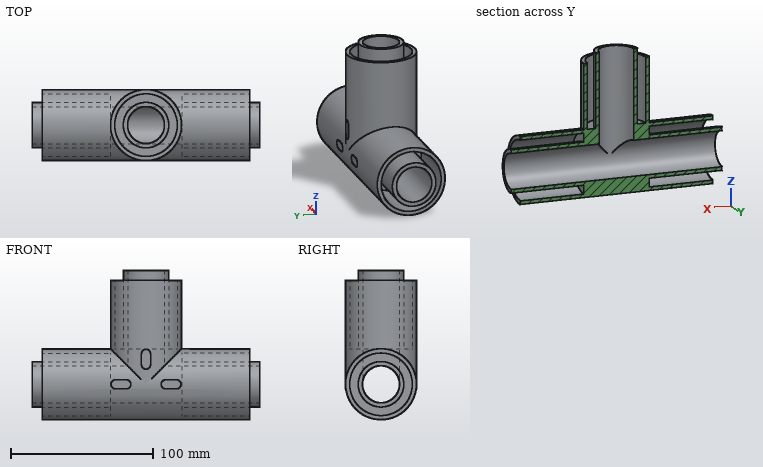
import cadquery as cq

run_length = 160.0
sleeve_diameter = 50.0
sleeve_bore = 44.0
pipe_diameter = 32.0
pipe_bore = 26.0
pipe_overhang = 7.0
branch_top = 80.0
socket_depth = 48.0
pad_length = 14.0
pad_width = 6.4
pad_offset = 17.6

sleeve_radius = sleeve_diameter / 2
run_end = run_length / 2

arms = [
    (cq.Vector(1, 0, 0), run_end),
    (cq.Vector(-1, 0, 0), run_end),
    (cq.Vector(0, 0, 1), branch_top),
]


def arm_cylinder(direction, diameter, start, end):
    """Cylinder along an arm, between two distances from the origin."""
    base = direction * start
    return cq.Workplane(cq.Solid.makeCylinder(diameter / 2, end - start, base, direction))


def sleeve_body():
    """Outer tee; the branch is trimmed to the run by the crossing cylinders."""
    run_sleeve_length = run_length - 2 * pipe_overhang
    run = cq.Workplane("YZ").circle(sleeve_radius).extrude(run_sleeve_length / 2, both=True)
    branch = cq.Workplane("XY").circle(sleeve_radius).extrude(branch_top - pipe_overhang)
    return run.union(branch)


def marker_pads():
    """Flat oblong pads on both sides of the tee, tangent to the sleeve, one along each arm."""
    pads = (
        cq.Workplane("XZ")
        .pushPoints([(-pad_offset, 0), (pad_offset, 0)])
        .slot2D(pad_length, pad_width)
        .extrude(sleeve_radius, both=True)
    )
    branch_pad = (
        cq.Workplane("XZ")
        .center(0, pad_offset)
        .slot2D(pad_length, pad_width, 90)
        .extrude(sleeve_radius, both=True)
    )
    return pads.union(branch_pad)


result = sleeve_body().union(marker_pads())

for direction, pipe_end in arms:
    sleeve_end = pipe_end - pipe_overhang
    socket_floor = sleeve_end - socket_depth
    socket = arm_cylinder(direction, sleeve_bore, socket_floor, sleeve_end)
    pipe = arm_cylinder(direction, pipe_diameter, socket_floor, pipe_end)
    result = result.cut(socket).union(pipe)

for direction, pipe_end in arms:
    result = result.cut(arm_cylinder(direction, pipe_bore, 0, pipe_end))